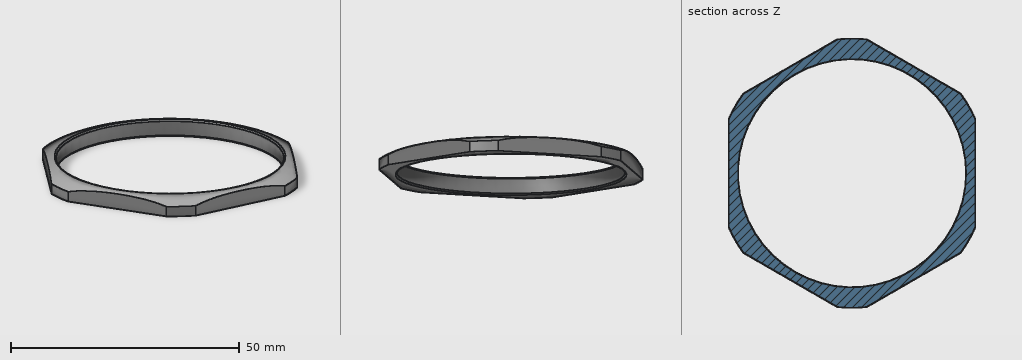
import cadquery as cq
import math

across_flats = 54.0
corner_diameter = 59.0
bore_diameter = 49.9
bore_chamfer = 0.35
height = 3.9
edge_height = 2.3
crown_radius = 10.0
flat_count = 6

corner_radius = corner_diameter / 2
bore_radius = bore_diameter / 2
crest_radius = bore_radius + bore_chamfer


def crown_midpoint():
    """Point (r, z) halfway along the crown arc, from crest to corner edge."""
    run = corner_radius - crest_radius
    drop = height - edge_height
    chord = math.hypot(run, drop)
    bulge = crown_radius - math.sqrt(crown_radius**2 - (chord / 2) ** 2)
    mid_r = (crest_radius + corner_radius) / 2 + bulge * drop / chord
    mid_z = (height + edge_height) / 2 + bulge * run / chord
    return mid_r, mid_z


def make_ring():
    """Revolved ring with a chamfered bore and a domed top."""
    section = (
        cq.Workplane("XZ")
        .moveTo(bore_radius, bore_chamfer)
        .lineTo(crest_radius, 0)
        .lineTo(corner_radius, 0)
        .lineTo(corner_radius, edge_height)
        .threePointArc(crown_midpoint(), (crest_radius, height))
        .lineTo(bore_radius, height - bore_chamfer)
        .close()
    )
    return section.revolve(360, (0, 0, 0), (0, 1, 0))


def make_hexagon():
    """Hexagonal prism with two flats facing along X."""
    across_corners = across_flats / math.cos(math.pi / flat_count)
    prism = cq.Workplane("XY").polygon(flat_count, across_corners).extrude(height)
    return prism.rotate((0, 0, 0), (0, 0, 1), 180 / flat_count)


result = make_ring().intersect(make_hexagon())